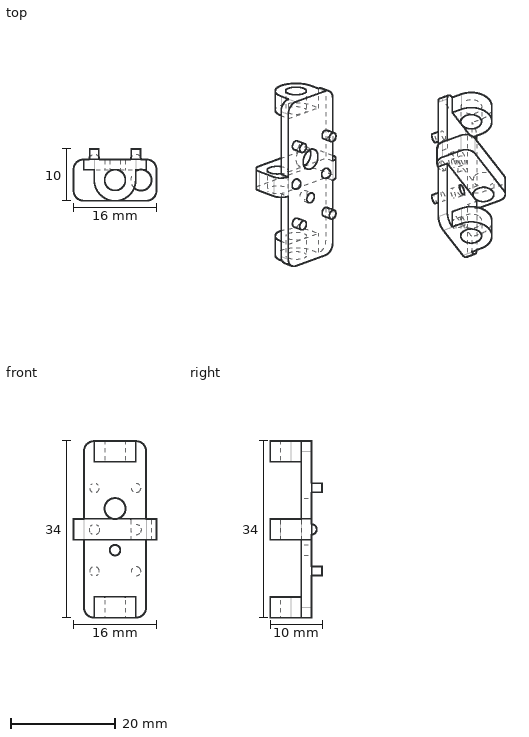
import cadquery as cq

body_depth = 8.0
corner_radius = 2.0

plate_width = 12.0
plate_height = 34.0
plate_thickness = 2.0
back_y = body_depth / 2
plate_front_y = back_y - plate_thickness
large_hole_diameter = 4.0
small_hole_diameter = 2.0
plate_hole_offset = 4.0

lug_height = 4.0
lug_radius = body_depth / 2
lug_bore_diameter = 4.0

bar_width = 16.0
bar_height = 4.0
bar_hole_diameter = 4.0
bar_hole_x = 5.0

pin_diameter = 1.8
pin_length = 2.0
pin_x = 4.0
pin_z = 8.0
bump_radius = 1.0


def make_plate():
    """Plate with rounded corners."""
    plate = cq.Workplane("XY").box(plate_width, plate_thickness, plate_height)
    plate = plate.edges("|Y").fillet(corner_radius)
    return plate.translate((0, back_y - plate_thickness / 2, 0))


def make_plate_hole(diameter, z):
    """Cutter through the plate only, along Y."""
    cutter = cq.Workplane("XZ", origin=(0, back_y, z)).circle(diameter / 2)
    return cutter.extrude(plate_thickness)


def make_lug(bottom_z):
    """D-shaped lug with a vertical bore, joined to the front of the plate."""
    outline = (
        cq.Workplane("XY", origin=(0, 0, bottom_z))
        .moveTo(-lug_radius, plate_front_y)
        .lineTo(-lug_radius, 0)
        .threePointArc((0, -lug_radius), (lug_radius, 0))
        .lineTo(lug_radius, plate_front_y)
        .close()
    )
    lug = outline.extrude(lug_height)
    bore = cq.Workplane("XY", origin=(0, 0, bottom_z)).circle(lug_bore_diameter / 2)
    return lug.cut(bore.extrude(lug_height))


def make_crossbar():
    """Bar with rounded upright edges."""
    bar = cq.Workplane("XY").box(bar_width, body_depth, bar_height)
    return bar.edges("|Z").fillet(corner_radius)


def make_crossbar_hole():
    """Vertical cutter near the +X end of the crossbar."""
    cutter = cq.Workplane("XY", origin=(bar_hole_x, 0, -bar_height / 2))
    return cutter.circle(bar_hole_diameter / 2).extrude(bar_height)


def make_pin(x, z):
    """Round pin standing on the back face, rooted in the plate."""
    pin = cq.Workplane("XZ", origin=(x, plate_front_y, z)).circle(pin_diameter / 2)
    return pin.extrude(-(plate_thickness + pin_length))


def make_bump(x):
    """Ball centred on the back face at mid height; its back half stands proud."""
    return cq.Workplane("XY").sphere(bump_radius).translate((x, back_y, 0))


result = make_plate().union(make_crossbar())
result = result.cut(make_crossbar_hole())

for lug_bottom_z in (-plate_height / 2, plate_height / 2 - lug_height):
    result = result.union(make_lug(lug_bottom_z))

result = result.cut(make_plate_hole(large_hole_diameter, plate_hole_offset))
result = result.cut(make_plate_hole(small_hole_diameter, -plate_hole_offset))

for x in (-pin_x, pin_x):
    result = result.union(make_bump(x))
    for z in (-pin_z, pin_z):
        result = result.union(make_pin(x, z))